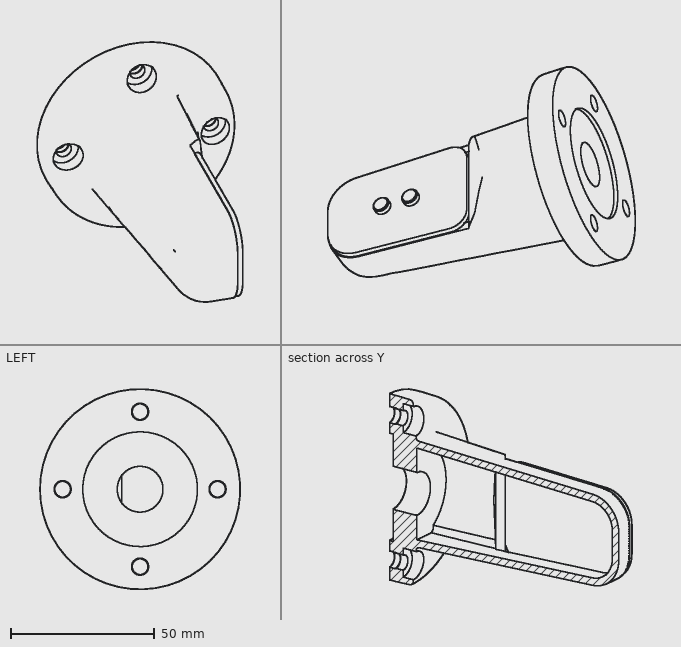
import cadquery as cq
import math

length = 98.7
selection_margin = 0.5
flange_radius = 34.99

base_plate_thickness = 2.7
flange_side_end = 10.2
flange_side_radius = 34.7
flange_top = 11.6
flange_top_radius = 19.7
flange_edge_radius = 1.8
web_thickness = 11.8
arm_root = 9.9
recess_radius = 20.0
recess_depth = 1.5
bore_radius = 8.0

hole_circle_radius = 27.0
hole_radius = 2.8
hole_entry_radius = 3.0
hole_count = 4
counterbore_radius = 5.3
counterbore_floor = 5.9

deck_y = 6.4
arm_half_width = 20.2
arm_bottom = 20.5
side_taper = math.tan(math.radians(2.2))
bottom_taper = math.tan(math.radians(5))
side_draft = math.tan(math.radians(1))
arm_edge_radius = 11.8
root_radius = 1.2
wall = 3.0

dome_height = 20.8
dome_slope = 0.252
dome_side_top = 9.7
dome_side_slope = 0.055
dome_crease = 12.7
dome_crease_slope = 0.032
dome_shoulder_depth = 2.5
dome_nose_start = 35.6
dome_nose_middle = (40.7, 11.4)
dome_nose_end = 45.2
dome_wall_end = dome_nose_end + 1.0

cover_thickness = 2.0
cover_inset = 0.4
cover_start = 45.0
cover_start_radius = 6.5
head_radius = 3.0
head_height = 2.2
head_chamfer = 0.4
head_positions = (66.1, 77.1)


def block_start(inset):
    """X where the outer blocks (no inset) or the cavity inside them begin."""
    return web_thickness if inset else arm_root


def side_half_width(x):
    """Half width of the arm at deck level."""
    return arm_half_width - side_taper * (x - arm_root)


def x_cylinder(radius, start, end, y=0.0, z=0.0):
    return cq.Workplane("YZ", origin=(start, y, z)).circle(radius).extrude(end - start)


def arm_block(inset):
    """Drafted block with rounded bottom and end edges, drawn in from the outside by inset."""
    end = length - inset

    def section(x):
        top = side_half_width(x) - inset
        floor = -(arm_bottom - bottom_taper * (x - arm_root)) + inset
        low = top - side_draft * (deck_y - floor)
        points = [(deck_y, -top), (deck_y, top), (floor, low), (floor, -low)]
        return cq.Wire.makePolygon([cq.Vector(x, y, z) for y, z in points], close=True)

    start = block_start(inset)
    block = cq.Workplane(cq.Solid.makeLoft([section(start), section(end)], True))
    below_deck = cq.selectors.BoxSelector(
        (start + selection_margin, -length, -length),
        (length + selection_margin, deck_y - selection_margin, length))
    return block.edges(below_deck).fillet(arm_edge_radius - inset)


def dome_block(inset):
    """Shrinking round-shouldered hood on the deck, ending in a rounded nose."""

    def section(x):
        run = x - arm_root
        half = side_half_width(x) - inset
        side_top = dome_side_top - dome_side_slope * run - inset / 3
        crease = dome_crease - dome_crease_slope * run - inset
        crown = dome_height - dome_slope * run - inset
        shoulder = half - dome_shoulder_depth
        rise = side_top + (crease - side_top) * math.sin(math.pi / 4)
        reach = shoulder + (half - shoulder) * math.cos(math.pi / 4)
        return (cq.Workplane("YZ", origin=(x, 0, 0))
                .moveTo(deck_y, -half)
                .lineTo(side_top, -half)
                .threePointArc((rise, -reach), (crease, -shoulder))
                .threePointArc((crown, 0), (crease, shoulder))
                .threePointArc((rise, reach), (side_top, half))
                .lineTo(deck_y, half)
                .close()
                .wires().val())

    start = block_start(inset)
    hood = cq.Workplane(cq.Solid.makeLoft([section(start), section(dome_wall_end)], True))
    nose_top = dome_height - dome_slope * (dome_nose_start - arm_root)
    nose_shift = inset * math.sqrt(2)
    envelope = (cq.Workplane("XY", origin=(-nose_shift, 0, -length / 2))
                .moveTo(0, deck_y)
                .lineTo(0, length)
                .lineTo(dome_nose_start, length)
                .lineTo(dome_nose_start, nose_top)
                .threePointArc(dome_nose_middle, (dome_nose_end, deck_y))
                .close()
                .extrude(length))
    return hood.intersect(envelope)


def flange():
    profile = (cq.Workplane("XY")
               .lineTo(0, flange_radius)
               .lineTo(base_plate_thickness, flange_radius)
               .lineTo(flange_side_end, flange_side_radius)
               .lineTo(flange_top, flange_top_radius)
               .lineTo(flange_top, 0)
               .close())
    disc = profile.revolve(360, (0, 0, 0), (1, 0, 0))
    rim = cq.selectors.BoxSelector(
        (flange_side_end - selection_margin, -length, -length),
        (flange_side_end + selection_margin, length, length), True)
    return disc.edges(rim).fillet(flange_edge_radius)


def cover():
    end = length - cover_inset
    start_half = side_half_width(cover_start) - cover_inset
    end_half = side_half_width(end) - cover_inset
    plate = (cq.Workplane("XZ", origin=(0, deck_y, 0))
             .polyline([(cover_start, -start_half), (cover_start, start_half),
                        (end, end_half), (end, -end_half)])
             .close()
             .extrude(-cover_thickness))
    plate = plate.edges("|Y and <X").fillet(cover_start_radius)
    plate = plate.edges("|Y and >X").fillet(arm_edge_radius - cover_inset)
    heads = (cq.Workplane("XZ", origin=(0, deck_y + cover_thickness, 0))
             .pushPoints([(x, 0) for x in head_positions])
             .circle(head_radius)
             .extrude(-head_height)
             .faces(">Y").edges().chamfer(head_chamfer))
    return plate.union(heads)


def drilled_flange():
    """Flange with its ring of stepped and counterbored screw holes."""
    drilled = flange()
    for number in range(hole_count):
        angle = 2 * math.pi * number / hole_count
        y = hole_circle_radius * math.cos(angle)
        z = hole_circle_radius * math.sin(angle)
        drilled = drilled.cut(x_cylinder(hole_radius, 0, flange_top, y, z))
        drilled = drilled.cut(x_cylinder(hole_entry_radius, 0, base_plate_thickness, y, z))
        drilled = drilled.cut(x_cylinder(counterbore_radius, counterbore_floor, flange_top, y, z))
    return drilled


def root_fillet(solid):
    """Round the seam where the arm and the dome leave the flange."""
    half = arm_half_width + root_radius
    seam = cq.selectors.BoxSelector(
        (flange_top - selection_margin, -half, -half),
        (flange_top + selection_margin, half, half), True)
    return solid.edges(seam).fillet(root_radius)


cavity = arm_block(wall).union(dome_block(wall))
housing = root_fillet(drilled_flange().union(arm_block(0)).union(dome_block(0)))
housing = housing.cut(x_cylinder(recess_radius, 0, recess_depth))
housing = housing.cut(x_cylinder(bore_radius, 0, web_thickness))
result = housing.cut(cavity).union(cover())